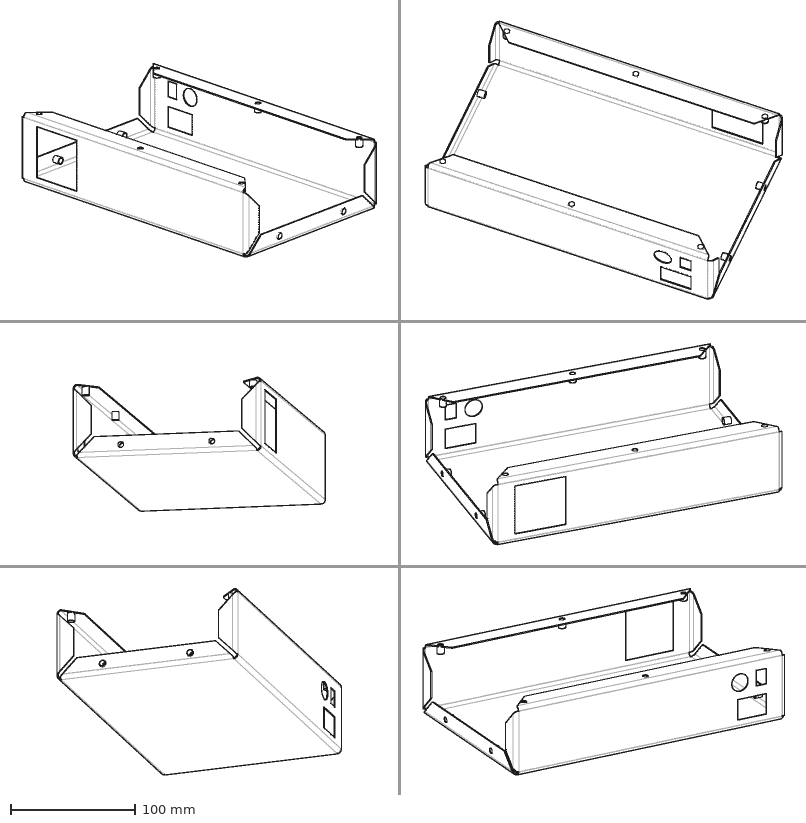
import cadquery as cq

length = 250.0
width = 155.0
height = 60.0
sheet = 1.0
bend_radius = 3.5

lip_depth = 18.0
wall_flange_depth = 15.5
floor_flange_height = 16.0

lip_miter_gap = 0.5
wall_flange_miter_gap = 2.8
floor_flange_miter_gap = 2.0

stud_diameter = 6.0
bore_diameter = 4.5
lip_stud_inset = 8.5
lip_stud_depth = 7.5
short_lip_stud_depth = 6.0
floor_flange_stud_depth = 7.0
lip_stud_x = 112.0
lip_stud_y = width / 2 - lip_stud_inset
floor_stud_y = 37.5
floor_stud_z = 8.5

opening_inset = 18.0
opening_left = opening_inset - length / 2
window_size = 44.0
window_bottom = 8.2
socket_width = 26.5
socket_height = 17.8
switch_width = 9.5
switch_height = 13.5
switch_bottom = 34.5
round_diameter = 15.0
round_inset = 42.5
round_x = round_inset - length / 2
round_z = 40.5
cutter_depth = 4 * sheet


def bent_tube(plane, across, up, depth, bend_edges):
    """Closed sheet loop with rounded bends; its open ends stop where the bends of the end panels begin."""
    half_depth = depth / 2 - bend_radius
    inner_across = across - 2 * sheet
    inner_up = up - 2 * sheet
    outer = cq.Workplane(plane).rect(across, up).extrude(half_depth, both=True)
    outer = outer.edges(bend_edges).fillet(bend_radius)
    inner = cq.Workplane(plane).rect(inner_across, inner_up).extrude(half_depth, both=True)
    inner = inner.edges(bend_edges).fillet(bend_radius - sheet)
    return outer.cut(inner).translate((0, 0, height / 2))


def mitred_outline(half_span, depth, gap):
    """Trapezoid of (along, depth) points with 45 degree ends; its base lies on the outer face."""
    base = half_span - gap
    tip = base - depth
    return [(-base, 0), (base, 0), (tip, depth), (-tip, depth)]


def mirrored_y(solid):
    return solid.union(solid.mirror("XZ"))


def floor_with_flanges():
    tube = bent_tube("XZ", length, height, width, "|Y")
    outline = mitred_outline(width / 2, floor_flange_height, floor_flange_miter_gap)
    keep = cq.Workplane("YZ").polyline(outline).close().extrude(length / 2, both=True)
    return tube.intersect(keep)


def walls_with_flanges():
    tube = bent_tube("XY", length, width, height, "|Z")
    outline = mitred_outline(height / 2, wall_flange_depth, wall_flange_miter_gap)
    points = [(depth - width / 2, height / 2 + along) for along, depth in outline]
    keep = cq.Workplane("YZ").polyline(points).close().extrude(length / 2, both=True)
    return tube.intersect(mirrored_y(keep))


def walls_with_lips():
    tube = bent_tube("YZ", width, height, length, "|X")
    outline = mitred_outline(length / 2, lip_depth, lip_miter_gap)
    points = [(along, depth - width / 2) for along, depth in outline]
    keep = cq.Workplane("XY").polyline(points).close().extrude(height)
    return tube.intersect(mirrored_y(keep))


def cylinder(diameter, depth, start, direction):
    return cq.Workplane(cq.Solid.makeCylinder(diameter / 2, depth, cq.Vector(*start), cq.Vector(*direction)))


def wall_opening(side, opening_width, opening_height, bottom):
    """Rectangular cutter through the wall on the given Y side."""
    cutter = cq.Workplane("XY").box(opening_width, cutter_depth, opening_height, centered=(False, True, False))
    return cutter.translate((opening_left, side * width / 2, bottom))


def add_stud(body, start, direction, depth):
    """Stud with a through bore, flush with the outer sheet face at start."""
    body = body.union(cylinder(stud_diameter, depth, start, direction))
    return body.cut(cylinder(bore_diameter, depth, start, direction))


body = floor_with_flanges().union(walls_with_flanges()).union(walls_with_lips())

body = body.cut(wall_opening(-1, window_size, window_size, window_bottom))
body = body.cut(wall_opening(1, socket_width, socket_height, window_bottom))
body = body.cut(wall_opening(1, switch_width, switch_height, switch_bottom))
round_start = (round_x, width / 2 - cutter_depth / 2, round_z)
body = body.cut(cylinder(round_diameter, cutter_depth, round_start, (0, 1, 0)))

for side in (-1, 1):
    for x in (-lip_stud_x, 0, lip_stud_x):
        is_short = side < 0 and x < 0
        depth = short_lip_stud_depth if is_short else lip_stud_depth
        body = add_stud(body, (x, side * lip_stud_y, height), (0, 0, -1), depth)

for end in (-1, 1):
    for y in (-floor_stud_y, floor_stud_y):
        start = (end * length / 2, y, floor_stud_z)
        body = add_stud(body, start, (-end, 0, 0), floor_flange_stud_depth)

result = body